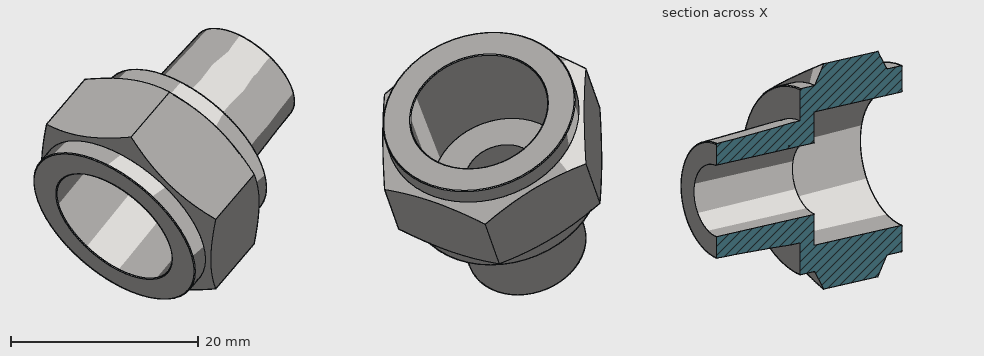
import cadquery as cq
import math

across_corners = 25.4
hex_start = 2.0
hex_end = 11.6
hex_chamfer_length = 1.2

collar_diameter = 21.0
collar_end = 13.56
collar_edge = 0.1

spigot_diameter = 13.8
spigot_tip_diameter = 12.95
taper_start = 14.6
total_length = 24.6
tip_edge = 0.1

socket_diameter = 14.95
socket_depth = hex_end
socket_edge = 0.1
bore_diameter = 8.0


def revolve_profile(points):
    """Revolve (radius, y) points about the Y axis."""
    return cq.Workplane("XY").polyline(points).close().revolve(360, (0, 0, 0), (0, 1, 0))


def make_hexagon():
    """Hexagonal prism with corners on Z and conical chamfers at both ends."""
    corner_radius = across_corners / 2
    collar_radius = collar_diameter / 2
    corners = []
    for index in range(6):
        angle = math.radians(90 + 60 * index)
        corners.append((corner_radius * math.cos(angle), corner_radius * math.sin(angle)))
    prism = (
        cq.Workplane("XZ", origin=(0, hex_end, 0))
        .polyline(corners)
        .close()
        .extrude(hex_end - hex_start)
    )
    envelope = revolve_profile([
        (0, hex_start),
        (collar_radius, hex_start),
        (corner_radius, hex_start + hex_chamfer_length),
        (corner_radius, hex_end - hex_chamfer_length),
        (collar_radius, hex_end),
        (0, hex_end),
    ])
    return prism.intersect(envelope)


def make_round_body():
    """Collars and tapered spigot, with lightly broken edges."""
    collar_radius = collar_diameter / 2
    spigot_radius = spigot_diameter / 2
    tip_radius = spigot_tip_diameter / 2
    return revolve_profile([
        (0, 0),
        (collar_radius - collar_edge, 0),
        (collar_radius, collar_edge),
        (collar_radius, collar_end - collar_edge),
        (collar_radius - collar_edge, collar_end),
        (spigot_radius, collar_end),
        (spigot_radius, taper_start),
        (tip_radius, total_length - tip_edge),
        (tip_radius - tip_edge, total_length),
        (0, total_length),
    ])


def make_cavity():
    """Socket with a chamfered mouth, continued by the through bore."""
    socket_radius = socket_diameter / 2
    bore_radius = bore_diameter / 2
    return revolve_profile([
        (0, 0),
        (socket_radius + socket_edge, 0),
        (socket_radius, socket_edge),
        (socket_radius, socket_depth),
        (bore_radius, socket_depth),
        (bore_radius, total_length),
        (0, total_length),
    ])


result = make_round_body().union(make_hexagon()).cut(make_cavity())